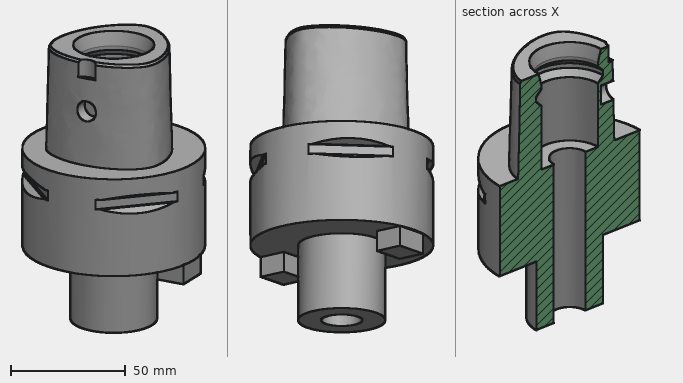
import cadquery as cq
import math

SPIGOT_DIAMETER = 38.1
SPIGOT_LENGTH = 34.0
BODY_DIAMETER = 80.0
BODY_HEIGHT = 45.0
SHANK_HEIGHT = 48.0

BODY_BOTTOM = SPIGOT_LENGTH
BODY_TOP = BODY_BOTTOM + BODY_HEIGHT
TOTAL_HEIGHT = BODY_TOP + SHANK_HEIGHT

SHANK_WIDTH = 55.1
SHANK_ECCENTRICITY = 2.0
SHANK_TAPER = 1 / 20
RIM_CHAMFER_WIDTH = 0.7
RIM_CHAMFER_HEIGHT = 1.2
SECTION_POINTS = 24

BORE_RADIUS = 16.0
MOUTH_RADIUS = 17.7
MOUTH_CONE_ANGLE = 15.0
THROAT_END_DEPTH = 8.2
UNDERCUT_RADIUS = 19.0
UNDERCUT_LAND = 2.3
BORE_DEPTH = SHANK_HEIGHT
THROUGH_DIAMETER = 18.0

NOTCH_DIAMETER = 11.0
NOTCH_DEPTH = 8.0
NOTCH_BACK = 22.2
POCKET_DIAMETER = 9.2
POCKET_DROP = 23.0
POCKET_FLOOR = 18.0

GROOVE_COUNT = 4
GROOVE_START_ANGLE = 45.0
GROOVE_DROP = 12.0
GROOVE_SLOT_HEIGHT = 4.4
GROOVE_FLOOR = 35.4
GROOVE_FLARE_START = 36.4
GROOVE_FLANK_ANGLE = 30.0

KEY_WIDTH = 15.9
KEY_DROP = 9.0
KEY_INNER = 26.0
KEY_OUTER = 39.0


def shank_section(width, height):
    """Closed wire of the lobed section with a given width, at a height above the body top."""
    radius = width / 2
    e = SHANK_ECCENTRICITY

    def point(t):
        across = radius * math.sin(t) + 2 * e * math.sin(2 * t) + e * math.sin(4 * t)
        along = radius * math.cos(t) - 2 * e * math.cos(2 * t) + e * math.cos(4 * t)
        return cq.Vector(across, -along, BODY_TOP + height)

    points = [point(2 * math.pi * i / SECTION_POINTS) for i in range(SECTION_POINTS)]
    return cq.Wire.assembleEdges([cq.Edge.makeSpline(points, periodic=True)])


def make_shank():
    """Tapered shank closed by a short, steeper stretch that chamfers the top rim."""
    shoulder = SHANK_HEIGHT - RIM_CHAMFER_HEIGHT
    shoulder_width = SHANK_WIDTH - SHANK_TAPER * shoulder
    rim_width = SHANK_WIDTH - SHANK_TAPER * SHANK_HEIGHT - 2 * RIM_CHAMFER_WIDTH
    base_section = shank_section(SHANK_WIDTH, 0)
    shoulder_section = shank_section(shoulder_width, shoulder)
    rim_section = shank_section(rim_width, SHANK_HEIGHT)
    taper = cq.Workplane(cq.Solid.makeLoft([base_section, shoulder_section], True))
    chamfer = cq.Solid.makeLoft([shoulder_section, rim_section], True)
    return taper.union(cq.Workplane(chamfer))


def make_body():
    spigot = cq.Workplane("XY").circle(SPIGOT_DIAMETER / 2).extrude(SPIGOT_LENGTH)
    body = cq.Workplane("XY", origin=(0, 0, BODY_BOTTOM)).circle(BODY_DIAMETER / 2).extrude(BODY_HEIGHT)
    return body.union(spigot)


def make_bore():
    """Revolved cutter: conical mouth, throat, undercut groove, blind bore and through hole."""
    throat_start = (MOUTH_RADIUS - BORE_RADIUS) / math.tan(math.radians(MOUTH_CONE_ANGLE))
    undercut_side = UNDERCUT_RADIUS - BORE_RADIUS
    land_start = THROAT_END_DEPTH + undercut_side
    land_end = land_start + UNDERCUT_LAND
    profile = [
        (0, 0),
        (MOUTH_RADIUS, 0),
        (BORE_RADIUS, throat_start),
        (BORE_RADIUS, THROAT_END_DEPTH),
        (UNDERCUT_RADIUS, land_start),
        (UNDERCUT_RADIUS, land_end),
        (BORE_RADIUS, land_end + undercut_side),
        (BORE_RADIUS, BORE_DEPTH),
        (THROUGH_DIAMETER / 2, BORE_DEPTH),
        (THROUGH_DIAMETER / 2, TOTAL_HEIGHT),
        (0, TOTAL_HEIGHT),
    ]
    outline = [(radius, TOTAL_HEIGHT - depth) for radius, depth in profile]
    return cq.Workplane("XZ").polyline(outline).close().revolve(360, (0, 0), (0, 1))


def make_notch():
    """Half-round vertical notch in the shank's top rim."""
    centre_y = -(NOTCH_BACK + NOTCH_DIAMETER / 2)
    plane = cq.Workplane("XY", origin=(0, centre_y, TOTAL_HEIGHT - NOTCH_DEPTH))
    return plane.circle(NOTCH_DIAMETER / 2).extrude(NOTCH_DEPTH)


def make_pocket():
    """Blind round pocket entering the shank from -Y."""
    plane = cq.Workplane("XZ", origin=(0, -POCKET_FLOOR, TOTAL_HEIGHT - POCKET_DROP))
    return plane.circle(POCKET_DIAMETER / 2).extrude(SHANK_WIDTH / 2)


def make_groove(angle):
    """Straight gripper groove: square slot at the floor, flaring outwards."""
    half_slot = GROOVE_SLOT_HEIGHT / 2
    rim = BODY_DIAMETER / 2
    half_mouth = half_slot + (rim - GROOVE_FLARE_START) * math.tan(math.radians(GROOVE_FLANK_ANGLE))
    upper = [(GROOVE_FLOOR, half_slot), (GROOVE_FLARE_START, half_slot), (rim, half_mouth)]
    lower = [(distance, -height) for distance, height in reversed(upper)]
    plane = cq.Workplane("XZ", origin=(0, 0, BODY_TOP - GROOVE_DROP))
    groove = plane.polyline(upper + lower).close().extrude(BODY_DIAMETER / 2, both=True)
    return groove.rotate((0, 0, 0), (0, 0, 1), angle)


def make_key(side):
    length = KEY_OUTER - KEY_INNER
    centre_x = side * (KEY_OUTER + KEY_INNER) / 2
    plane = cq.Workplane("XY", origin=(centre_x, 0, BODY_BOTTOM - KEY_DROP))
    return plane.rect(length, KEY_WIDTH).extrude(KEY_DROP)


result = make_body().union(make_shank())
for side in (-1, 1):
    result = result.union(make_key(side))
for index in range(GROOVE_COUNT):
    result = result.cut(make_groove(GROOVE_START_ANGLE + index * 360 / GROOVE_COUNT))
result = result.cut(make_bore()).cut(make_notch()).cut(make_pocket())